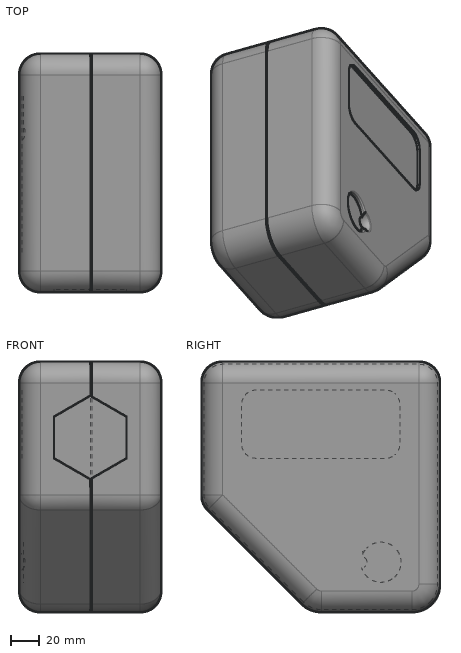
import cadquery as cq
import math

width = 100.0
length = 168.0
height = 176.5

corner_cut = 76.5
corner_radius = 15.0
bottom_corner_radius = 20.0
edge_radius = 15.0

groove_width = 1.0
groove_depth = 2.0

hexagon_flats = 50.8
hexagon_center_z = 123.0
hexagon_depth = groove_depth

plate_length = 111.2
plate_height = 48.0
plate_corner_radius = 10.0
plate_center_z = 132.4
plate_depth = 2.0

disc_radius = 14.1
disc_depth = 3.2
disc_center_y = 42.4
disc_center_z = 35.3
dimple_offset = 14.0
dimple_rim_radius = 7.0
dimple_floor_radius = 4.0
rim_radius = 1.0

side_x = -width / 2
front_y = -length / 2
back_y = length / 2
cutter_margin = 1.8


def rounded_prism():
    """Prism of the outline with its X-parallel edges rounded."""
    slope_top = (front_y, corner_cut)
    slope_bottom = (front_y + corner_cut, 0)
    outline = [slope_bottom, (back_y, 0), (back_y, height), (front_y, height), slope_top]
    prism = cq.Workplane("YZ").polyline(outline).close().extrude(width / 2, both=True)
    prism = prism.faces("<Z").edges("|X").fillet(bottom_corner_radius)
    prism = prism.faces(">Z").edges("|X").fillet(corner_radius)
    return prism.faces("<Y").edges("|X and <Z").fillet(corner_radius)


def parting_groove(prism):
    """Thin ring that follows the outline just beside the middle plane."""
    outline = prism.faces("<X").wires().val()
    ring = cq.Workplane("YZ", origin=(side_x, 0, 0)).add(outline).toPending()
    core = ring.offset2D(-groove_depth).extrude(width)
    slab = cq.Workplane("XY").box(groove_width, 2 * length, 2 * height)
    slab = slab.translate((groove_width / 2, 0, height / 2))
    return slab.cut(core)


def hexagon_recess():
    plane = cq.Workplane("XZ", origin=(0, front_y + hexagon_depth, hexagon_center_z))
    corner_circle = hexagon_flats / math.cos(math.pi / 6)
    hexagon = plane.transformed(rotate=(0, 0, 90)).polygon(6, corner_circle)
    return hexagon.extrude(hexagon_depth + cutter_margin)


def plate_recess():
    plate = cq.Workplane("XY").box(2 * plate_depth, plate_length, plate_height)
    plate = plate.edges("|X").fillet(plate_corner_radius)
    return plate.translate((side_x, 0, plate_center_z))


def disc_recess():
    """Round recess joined with the ball that scoops out the finger dimple."""
    disc = cq.Workplane("YZ", origin=(side_x - cutter_margin, disc_center_y, disc_center_z))
    disc = disc.circle(disc_radius).extrude(cutter_margin + disc_depth)
    standoff = (dimple_rim_radius**2 - dimple_floor_radius**2 - disc_depth**2) / (2 * disc_depth)
    ball = cq.Workplane("XY").sphere(math.hypot(dimple_rim_radius, standoff))
    ball = ball.translate((side_x - standoff, disc_center_y - dimple_offset, disc_center_z))
    return disc.union(ball)


def round_disc_rim(body):
    """Round the edge where the recess and its dimple open into the side face."""
    rim = body.faces("<X").val().innerWires()[0]
    return body.newObject(rim.Edges()).fillet(rim_radius)


prism = rounded_prism()
body = prism.faces("<X or >X").edges().fillet(edge_radius)
body = round_disc_rim(body.cut(disc_recess()))
body = body.cut(plate_recess()).cut(hexagon_recess())
result = body.cut(parting_groove(prism))